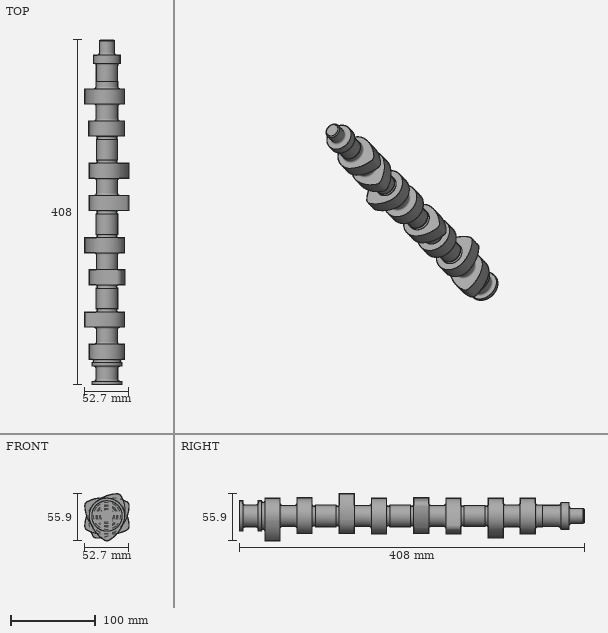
import cadquery as cq
import math


LENGTH = 408.0
SHAFT_D = 26.0
LINK_D = 25.0
FILLET_R = 2.5
UNDERCUT_R = 2.0
UNDERCUT_INSET = 2.0
UNDERCUT_FLOOR_D = 23.0

FLANGE_D = 36.0
FLANGE_LENGTH = 4.0
FLANGE_GAP = 4.0
GROOVE_LENGTH = 18.0

REAR_SHAFT_LENGTH = 8.5
REAR_JOURNAL_D = 25.5
COLLAR_D = 32.0
COLLAR_LENGTH = 10.0
SPIGOT_D = 18.0
SPIGOT_LENGTH = 18.0
SPIGOT_CHAMFER = 1.5

CAM_WIDTH = 18.0
CAM_SPACING = 38.0
PAIR_SPACING = 88.0
CAM_BASE_R = 21.0
CAM_LIFT = 8.5
CAM_NOSE_R = 6.0
CAM_FLANK_R = 40.0
PAIRS = [
    (-90, 150, LINK_D, True),
    (60, 210, LINK_D, False),
    (30, -30, LINK_D, True),
    (-120, 210, SHAFT_D, True),
]
BEARING_DIAMETERS = [26.0, 26.0, 25.0]

GROOVE_END = FLANGE_LENGTH + GROOVE_LENGTH
SECOND_FLANGE_END = GROOVE_END + FLANGE_LENGTH
FIRST_CAM_START = SECOND_FLANGE_END + FLANGE_GAP
SPIGOT_START = LENGTH - SPIGOT_LENGTH
COLLAR_START = SPIGOT_START - COLLAR_LENGTH


def cylinder(start, end, diameter):
    """Solid cylinder on the shaft axis between two Y positions."""
    section = cq.Workplane("XZ", origin=(0, start, 0)).circle(diameter / 2)
    return section.extrude(start - end)


def root_fillet(face, direction, diameter):
    """Concave ring that blends a shaft into a shoulder face; direction is +1 or -1 along Y."""
    shaft_r = diameter / 2
    outer_r = shaft_r + FILLET_R
    far_y = face + direction * FILLET_R
    diagonal = FILLET_R * (1 - math.sqrt(0.5))
    profile = (
        cq.Workplane("XY")
        .moveTo(0, face)
        .lineTo(outer_r, face)
        .threePointArc((shaft_r + diagonal, face + direction * diagonal), (shaft_r, far_y))
        .lineTo(0, far_y)
        .close()
    )
    return profile.revolve(360, (0, 0, 0), (0, 1, 0))


def filleted_shaft(start, end, diameter, fillet_start=True):
    """Shaft between two shoulders, with a root fillet at the end and, if wanted, at the start."""
    shaft = cylinder(start, end, diameter).union(root_fillet(end, -1, diameter))
    if fillet_start:
        shaft = shaft.union(root_fillet(start, 1, diameter))
    return shaft


def round_groove(center, floor_d, radius):
    """Ring of round section whose inner side reaches down to floor_d."""
    ring_r = floor_d / 2 + radius
    section = cq.Workplane("XY").center(ring_r, center).circle(radius)
    return section.revolve(360, (-ring_r, 0, 0), (-ring_r, 1, 0))


def bearing(start, end, diameter):
    """Journal between two cam pairs, with a round undercut against the cam at each end."""
    journal = cylinder(start, end, diameter)
    for center in (start + UNDERCUT_INSET, end - UNDERCUT_INSET):
        journal = journal.cut(round_groove(center, UNDERCUT_FLOOR_D, UNDERCUT_R))
    return journal


def cam(start, nose_angle):
    """Cam of tangent base, flank and nose arcs, its nose turned to nose_angle."""
    nose_center = CAM_BASE_R + CAM_LIFT - CAM_NOSE_R
    flank_offset = CAM_FLANK_R - CAM_BASE_R
    nose_to_flank = CAM_FLANK_R - CAM_NOSE_R
    cos_base = (nose_to_flank**2 - nose_center**2 - flank_offset**2) / (2 * nose_center * flank_offset)
    base_angle = math.acos(cos_base)
    flank_x = -flank_offset * math.cos(base_angle)
    flank_y = -flank_offset * math.sin(base_angle)
    nose_side = math.atan2(-flank_y, nose_center - flank_x)
    middle = (base_angle + nose_side) / 2

    base_point = (CAM_BASE_R * math.cos(base_angle), CAM_BASE_R * math.sin(base_angle))
    flank_middle = (
        flank_x + CAM_FLANK_R * math.cos(middle),
        flank_y + CAM_FLANK_R * math.sin(middle),
    )
    nose_point = (
        nose_center + CAM_NOSE_R * math.cos(nose_side),
        CAM_NOSE_R * math.sin(nose_side),
    )

    def mirrored(point):
        return (point[0], -point[1])

    outline = (
        cq.Workplane("XZ", origin=(0, start, 0))
        .moveTo(*base_point)
        .threePointArc(flank_middle, nose_point)
        .threePointArc((nose_center + CAM_NOSE_R, 0), mirrored(nose_point))
        .threePointArc(mirrored(flank_middle), mirrored(base_point))
        .threePointArc((-CAM_BASE_R, 0), base_point)
        .close()
    )
    return outline.extrude(-CAM_WIDTH).rotate((0, 0, 0), (0, 1, 0), -nose_angle)


def front_end():
    """Both flanges, the groove between them and the half-round groove, up to the first cam."""
    front = cylinder(0, FLANGE_LENGTH, FLANGE_D)
    front = front.union(filleted_shaft(FLANGE_LENGTH, GROOVE_END, SHAFT_D))
    front = front.union(cylinder(GROOVE_END, FIRST_CAM_START, FLANGE_D))
    gap_r = FLANGE_GAP / 2
    return front.cut(round_groove(SECOND_FLANGE_END + gap_r, FLANGE_D - FLANGE_GAP, gap_r))


def rear_end(start):
    """Last shaft section, collar and spigot, from the back of the last cam."""
    journal_start = start + REAR_SHAFT_LENGTH
    rear = cylinder(start, journal_start, SHAFT_D).union(root_fillet(start, 1, SHAFT_D))
    rear = rear.union(cylinder(journal_start, COLLAR_START, REAR_JOURNAL_D))
    rear = rear.union(root_fillet(COLLAR_START, -1, REAR_JOURNAL_D))
    rear = rear.union(cylinder(COLLAR_START, SPIGOT_START, COLLAR_D))
    spigot = cylinder(SPIGOT_START, LENGTH, SPIGOT_D)
    rear = rear.union(spigot.faces(">Y").chamfer(SPIGOT_CHAMFER))
    return rear.union(root_fillet(SPIGOT_START, 1, SPIGOT_D))


camshaft = front_end()
pair_end = None
for index, (first_angle, second_angle, link_d, front_fillet) in enumerate(PAIRS):
    first_start = FIRST_CAM_START + index * PAIR_SPACING
    second_start = first_start + CAM_SPACING
    if index > 0:
        camshaft = camshaft.union(bearing(pair_end, first_start, BEARING_DIAMETERS[index - 1]))
    camshaft = camshaft.union(cam(first_start, first_angle))
    first_end = first_start + CAM_WIDTH
    camshaft = camshaft.union(filleted_shaft(first_end, second_start, link_d, front_fillet))
    camshaft = camshaft.union(cam(second_start, second_angle))
    pair_end = second_start + CAM_WIDTH

result = camshaft.union(rear_end(pair_end))